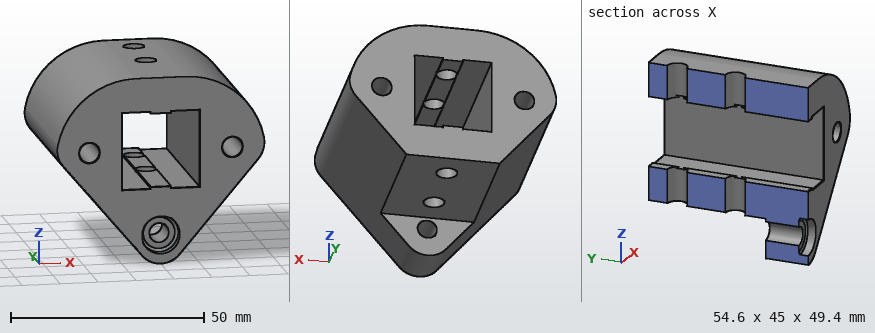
import cadquery as cq
import math

half_width = 27.3
depth = 45.0
top_z = 19.2
bottom_z = top_z - 49.4
flat_half_width = 6.55
shoulder_radius = 21.0
corner_radius = 6.8
tip_radius = 6.45

lug_depth = 12.0
lug_top_z = -19.15

bore_front_size = 20.65
bore_size = 20.3
rib_width = 5.3
rib_height = 0.5
lead_in_depth = 0.15

side_hole_x = 18.85
side_hole_diameter = 5.25
side_hole_front_diameter = 5.55
top_hole_diameter = 5.45
top_hole_positions = (20.6, 36.95)
lug_hole_z = -22.55
lug_hole_diameter = 5.1
recess_diameter = 10.0
recess_floor_diameter = 8.3
recess_wall_depth = 2.3
recess_depth = 2.6


def point_on_circle(center, radius, angle):
    return (center[0] + radius * math.cos(angle), center[1] + radius * math.sin(angle))


def mirrored(point):
    return (-point[0], point[1])


def front_plane(y=0.0):
    """XZ plane at the given depth, with its normal along +Y and local Y along -Z."""
    return cq.Plane(origin=(0, y, 0), xDir=(1, 0, 0), normal=(0, 1, 0))


def make_body():
    """Extrude the rounded outline; every arc is tangent to its neighbours."""
    shoulder_center = (flat_half_width, top_z - shoulder_radius)
    corner_x = half_width - corner_radius
    center_distance = shoulder_radius - corner_radius
    shoulder_end_angle = math.acos((corner_x - flat_half_width) / center_distance)
    corner_center = point_on_circle(shoulder_center, center_distance, shoulder_end_angle)
    tip_center = (0.0, bottom_z + tip_radius)

    rise = corner_center[1] - tip_center[1]
    span = math.hypot(corner_x, rise)
    flank_angle = math.atan2(rise, corner_x) - math.acos((tip_radius - corner_radius) / span)

    flat_end = (flat_half_width, top_z)
    shoulder_mid_angle = (math.pi / 2 + shoulder_end_angle) / 2
    shoulder_mid = point_on_circle(shoulder_center, shoulder_radius, shoulder_mid_angle)
    shoulder_end = point_on_circle(shoulder_center, shoulder_radius, shoulder_end_angle)
    corner_mid_angle = (shoulder_end_angle + flank_angle) / 2
    corner_mid = point_on_circle(corner_center, corner_radius, corner_mid_angle)
    corner_end = point_on_circle(corner_center, corner_radius, flank_angle)
    tip_start = point_on_circle(tip_center, tip_radius, flank_angle)

    return (
        cq.Workplane("XZ")
        .moveTo(*mirrored(flat_end))
        .lineTo(*flat_end)
        .threePointArc(shoulder_mid, shoulder_end)
        .threePointArc(corner_mid, corner_end)
        .lineTo(*tip_start)
        .threePointArc((0, bottom_z), mirrored(tip_start))
        .lineTo(*mirrored(corner_end))
        .threePointArc(mirrored(corner_mid), mirrored(shoulder_end))
        .threePointArc(mirrored(shoulder_mid), mirrored(flat_end))
        .close()
        .extrude(-depth)
    )


def make_relief():
    """Block that removes the tip behind the lug."""
    return cq.Workplane("XY").box(
        2 * half_width, depth - lug_depth, lug_top_z - bottom_z, centered=(True, False, False)
    ).translate((0, lug_depth, bottom_z))


def ribbed_square(plane, size):
    """Square wire section with a notch for the rib at top and bottom."""
    half = size / 2
    rib_half = rib_width / 2
    rib_face = half - rib_height
    return cq.Workplane(plane).polyline([
        (-half, -half), (-rib_half, -half), (-rib_half, -rib_face),
        (rib_half, -rib_face), (rib_half, -half), (half, -half),
        (half, half), (rib_half, half), (rib_half, rib_face),
        (-rib_half, rib_face), (-rib_half, half), (-half, half),
    ]).close()


def make_bore():
    """Ribbed square bore with a tapered lead-in at the front."""
    front_wire = ribbed_square(front_plane(), bore_front_size).wire().val()
    inner_wire = ribbed_square(front_plane(lead_in_depth), bore_size).wire().val()
    lead_in = cq.Solid.makeLoft([front_wire, inner_wire], True)
    return ribbed_square(front_plane(), bore_size).extrude(depth).union(cq.Workplane(lead_in))


def revolved_hole(x, z, sections):
    """Round hole along Y whose half section runs through the (radius, depth) pairs."""
    return (
        cq.Workplane("XY")
        .polyline([(0, 0), *sections, (0, depth)])
        .close()
        .revolve(360, (0, 0, 0), (0, 1, 0))
        .translate((x, 0, z))
    )


def make_side_hole(side):
    """Through hole with a small lead-in chamfer at the front."""
    radius = side_hole_diameter / 2
    return revolved_hole(side * side_hole_x, 0, [
        (side_hole_front_diameter / 2, 0), (radius, lead_in_depth), (radius, depth),
    ])


def make_lug_hole():
    """Through hole with a recess whose wall tapers in just above its flat floor."""
    recess_radius = recess_diameter / 2
    radius = lug_hole_diameter / 2
    return revolved_hole(0, lug_hole_z, [
        (recess_radius, 0), (recess_radius, recess_wall_depth),
        (recess_floor_diameter / 2, recess_depth), (radius, recess_depth), (radius, depth),
    ])


def make_top_holes():
    """Vertical holes through both the roof and the floor of the bore."""
    return (
        cq.Workplane("XY", origin=(0, 0, bottom_z))
        .pushPoints([(0, y) for y in top_hole_positions])
        .circle(top_hole_diameter / 2)
        .extrude(top_z - bottom_z)
    )


result = make_body().cut(make_relief()).cut(make_bore()).cut(make_top_holes())
for side in (-1, 1):
    result = result.cut(make_side_hole(side))
result = result.cut(make_lug_hole())